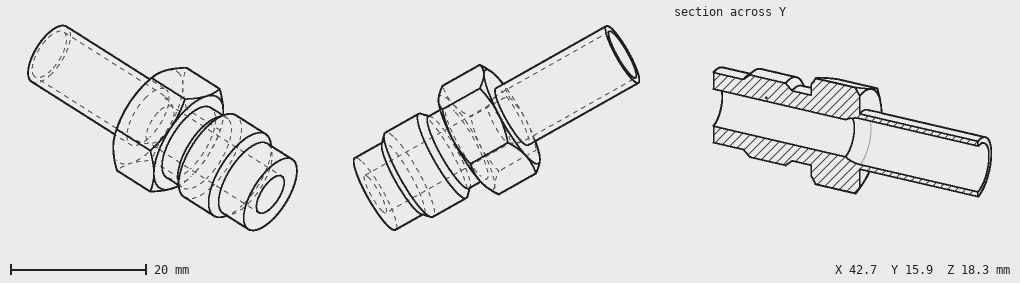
import cadquery as cq
import math

overall_length = 42.67

tube_diameter = 9.65
tube_length = 19.05

hex_sides = 6
hex_across_flats = 15.875
hex_width = 7.87
hex_chamfer_angle = 30.0
hex_corner_radius = hex_across_flats / 2 / math.cos(math.pi / hex_sides)

neck_diameter = 12.19
neck_length = 3.05
collar_diameter = 14.29
collar_width = 7.87
spigot_diameter = neck_diameter
collar_bevel = (collar_diameter - neck_diameter) / 2

tube_bore_diameter = 7.85
passage_diameter = 6.35
tube_bore_depth = tube_length

hex_start = tube_length
hex_end = hex_start + hex_width
collar_start = hex_end + neck_length
collar_end = collar_start + collar_width


def revolve_about_x(points):
    """Solid of revolution about the X axis from (x, radius) points."""
    return cq.Workplane("XZ").polyline(points).close().revolve(360, (0, 0, 0), (1, 0, 0))


def make_tube():
    return cq.Workplane("YZ").circle(tube_diameter / 2).extrude(hex_end)


def make_hexagon():
    """Hexagonal prism whose corners are trimmed by a cone at both faces."""
    corners = []
    for index in range(hex_sides):
        angle = math.radians(90 + 360 / hex_sides * index)
        corners.append((hex_corner_radius * math.cos(angle), hex_corner_radius * math.sin(angle)))
    prism = cq.Workplane("YZ").workplane(offset=hex_start).polyline(corners).close().extrude(hex_width)

    face_radius = hex_across_flats / 2
    chamfer_length = (hex_corner_radius - face_radius) * math.tan(math.radians(hex_chamfer_angle))
    envelope = revolve_about_x([
        (hex_start, 0),
        (hex_start, face_radius),
        (hex_start + chamfer_length, hex_corner_radius),
        (hex_end - chamfer_length, hex_corner_radius),
        (hex_end, face_radius),
        (hex_end, 0),
    ])
    return prism.intersect(envelope)


def make_body():
    """Neck, bevelled collar and end spigot."""
    return revolve_about_x([
        (hex_start, 0),
        (hex_start, neck_diameter / 2),
        (collar_start, neck_diameter / 2),
        (collar_start + collar_bevel, collar_diameter / 2),
        (collar_end - collar_bevel, collar_diameter / 2),
        (collar_end, spigot_diameter / 2),
        (overall_length, spigot_diameter / 2),
        (overall_length, 0),
    ])


def make_bore():
    """Ball-ended tube bore joined to the passage through the body."""
    tube_bore = cq.Workplane("YZ").circle(tube_bore_diameter / 2).extrude(tube_bore_depth)
    ball_end = cq.Workplane("XY").sphere(tube_bore_diameter / 2).translate((tube_bore_depth, 0, 0))
    passage = cq.Workplane("YZ").circle(passage_diameter / 2).extrude(overall_length)
    return tube_bore.union(ball_end).union(passage)


result = make_tube().union(make_hexagon()).union(make_body()).cut(make_bore())